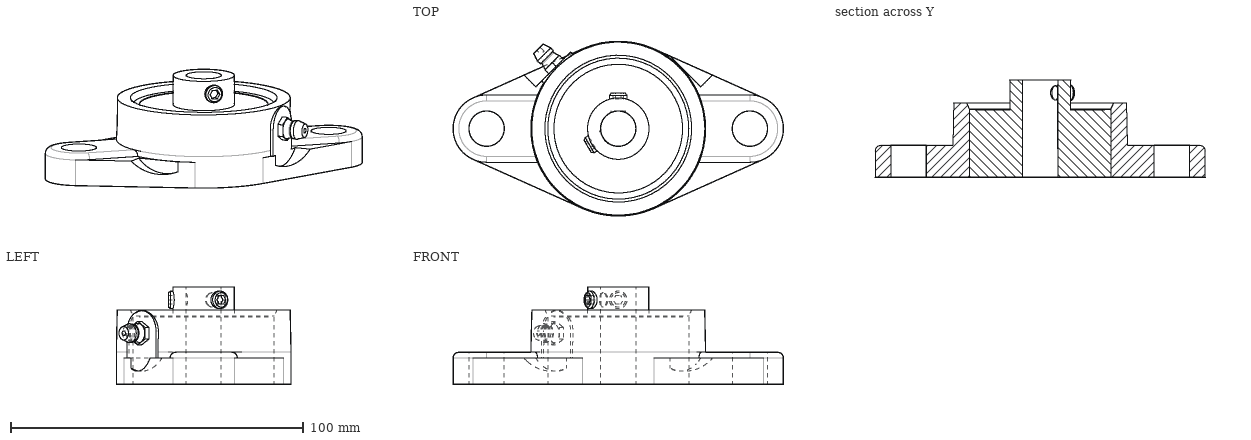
import cadquery as cq
import math


hub_radius = 29.9
bolt_offset = 45.0
ear_radius = 11.5
bolt_hole_diameter = 12.0
flange_height = 9.0
pad_height = 11.0
pad_edge_radius = 2.0

housing_height = 25.5
hub_top_radius = 29.6
seat_radius = 24.1
mouth_radius = 25.1
mouth_depth = 2.2
seat_height = housing_height - mouth_depth

shaft_diameter = 12.0
collar_diameter = 21.0
collar_top = 33.3
seal_radius = 22.0
seal_recess = 0.2

screw_diameter = 6.0
screw_end_diameter = 4.92
screw_chamfer_start = 11.3
screw_end = 12.1
screw_height = 28.9
screw_angles = (90.0, 210.0)
screw_socket_width = 3.0
screw_socket_depth = 2.0

nipple_angle = 135.0
nipple_height = 17.5
boss_face = 30.04
boss_radius = 7.0
boss_depth = 4.0
boss_center_height = 18.2
clearance_radius = 13.0
clearance_length = 20.0
clearance_angles = (nipple_angle, 180.0 - nipple_angle)
nipple_hex_width = 7.0
nipple_hex_length = 1.9
nipple_shoulder_radius = 3.4
nipple_neck_radius = 2.8
nipple_neck_start = 3.9
nipple_neck_end = 4.4
nipple_head_base_radius = 3.1
nipple_head_radius = 3.25
nipple_head_end = 5.8
nipple_tip_radius = 2.3
nipple_length = 8.6
nipple_hole_diameter = 1.6
nipple_hole_depth = 2.0


def radial_plane(angle, distance, height):
    """Plane facing outward at this angle, its local X horizontal and its local Y along +Z."""
    direction = cq.Vector(math.cos(math.radians(angle)), math.sin(math.radians(angle)), 0)
    sideways = cq.Vector(-direction.y, direction.x, 0)
    origin = direction * distance + cq.Vector(0, 0, height)
    return cq.Plane(origin=origin, xDir=sideways, normal=direction)


def hexagon_across_corners(width_across_flats):
    return width_across_flats / math.cos(math.pi / 6)


def make_flange():
    tangent_sine = (hub_radius - ear_radius) / bolt_offset
    tangent_cosine = math.sqrt(1 - tangent_sine**2)
    hub_x = hub_radius * tangent_sine
    hub_y = hub_radius * tangent_cosine
    ear_x = bolt_offset + ear_radius * tangent_sine
    ear_y = ear_radius * tangent_cosine
    ear_tip = bolt_offset + ear_radius
    return (
        cq.Workplane("XY")
        .moveTo(hub_x, hub_y)
        .threePointArc((0, hub_radius), (-hub_x, hub_y))
        .lineTo(-ear_x, ear_y)
        .threePointArc((-ear_tip, 0), (-ear_x, -ear_y))
        .lineTo(-hub_x, -hub_y)
        .threePointArc((0, -hub_radius), (hub_x, -hub_y))
        .lineTo(ear_x, -ear_y)
        .threePointArc((ear_tip, 0), (ear_x, ear_y))
        .close()
        .extrude(flange_height)
    )


def make_bolt_pads():
    return (
        cq.Workplane("XY")
        .slot2D(2 * (bolt_offset + ear_radius), 2 * ear_radius)
        .extrude(pad_height)
        .faces(">Z")
        .edges()
        .fillet(pad_edge_radius)
    )


def make_hub_base():
    return cq.Workplane("XY").circle(hub_radius).extrude(pad_height)


def make_hub_cone():
    """Upper part of the hub, with a slight draft."""
    return (
        cq.Workplane("XY")
        .workplane(offset=pad_height)
        .circle(hub_radius)
        .workplane(offset=housing_height - pad_height)
        .circle(hub_top_radius)
        .loft()
    )


def make_nipple_boss():
    """Flat-faced pad with a round top, standing on the flange."""
    foot = flange_height - boss_center_height
    return (
        cq.Workplane(radial_plane(nipple_angle, boss_face, boss_center_height))
        .moveTo(-boss_radius, foot)
        .lineTo(boss_radius, foot)
        .lineTo(boss_radius, 0)
        .threePointArc((0, boss_radius), (-boss_radius, 0))
        .close()
        .extrude(-boss_depth)
    )


def make_housing():
    seat_profile = [
        (0, 0),
        (seat_radius, 0),
        (seat_radius, seat_height),
        (mouth_radius, housing_height),
        (0, housing_height),
    ]
    seat = cq.Workplane("XZ").polyline(seat_profile).close().revolve(360, (0, 0), (0, 1))
    bolt_holes = (
        cq.Workplane("XY")
        .pushPoints([(-bolt_offset, 0), (bolt_offset, 0)])
        .circle(bolt_hole_diameter / 2)
        .extrude(pad_height)
    )
    body = make_flange()
    for block in (make_bolt_pads(), make_hub_base(), make_hub_cone()):
        body = body.union(block)
    for angle in clearance_angles:
        clearance = (
            cq.Workplane(radial_plane(angle, boss_face, nipple_height))
            .circle(clearance_radius)
            .extrude(clearance_length)
        )
        body = body.cut(clearance)
    return body.union(make_nipple_boss()).cut(seat).cut(bolt_holes)


def revolve_outward(profile, angle, distance, height):
    """Turn a (radius, length) profile about the radial axis at this angle."""
    outward = radial_plane(angle, distance, height)
    lengthwise = cq.Plane(origin=outward.origin, xDir=outward.xDir, normal=-outward.yDir)
    return cq.Workplane(lengthwise).polyline(profile).close().revolve(360, (0, 0), (0, 1))


def add_set_screw(insert, angle):
    """Set screw fixed in the collar, its flat tip at the bottom of a short hole off the shaft bore."""
    inner_end = shaft_diameter / 2
    screw_length = screw_end - inner_end
    tip_hole = (
        cq.Workplane(radial_plane(angle, 0, screw_height))
        .circle(screw_end_diameter / 2)
        .extrude(collar_diameter / 2)
    )
    profile = [
        (0, 0),
        (screw_diameter / 2, 0),
        (screw_diameter / 2, screw_chamfer_start - inner_end),
        (screw_end_diameter / 2, screw_length),
        (0, screw_length),
    ]
    screw = revolve_outward(profile, angle, inner_end, screw_height)
    socket = (
        cq.Workplane(radial_plane(angle, screw_end, screw_height))
        .polygon(6, hexagon_across_corners(screw_socket_width))
        .extrude(-screw_socket_depth)
    )
    return insert.cut(tip_hole).union(screw).cut(socket)


def make_insert():
    profile = [
        (shaft_diameter / 2, 0),
        (seat_radius, 0),
        (seat_radius, seat_height),
        (seal_radius, seat_height),
        (seal_radius, seat_height - seal_recess),
        (collar_diameter / 2, seat_height - seal_recess),
        (collar_diameter / 2, collar_top),
        (shaft_diameter / 2, collar_top),
    ]
    insert = cq.Workplane("XZ").polyline(profile).close().revolve(360, (0, 0), (0, 1))
    for angle in screw_angles:
        insert = add_set_screw(insert, angle)
    return insert


def make_nipple():
    """Grease nipple standing on the boss face: hexagon, waisted neck and tapered head."""
    hexagon = (
        cq.Workplane(radial_plane(nipple_angle, boss_face, nipple_height))
        .transformed(rotate=(0, 0, 90))
        .polygon(6, hexagon_across_corners(nipple_hex_width))
        .extrude(nipple_hex_length)
    )
    head_profile = [
        (0, 0),
        (nipple_shoulder_radius, 0),
        (nipple_shoulder_radius, nipple_hex_length),
        (nipple_neck_radius, nipple_neck_start),
        (nipple_neck_radius, nipple_neck_end),
        (nipple_head_base_radius, nipple_neck_end),
        (nipple_head_radius, nipple_head_end),
        (nipple_tip_radius, nipple_length),
        (0, nipple_length),
    ]
    head = revolve_outward(head_profile, nipple_angle, boss_face, nipple_height)
    grease_hole = (
        cq.Workplane(radial_plane(nipple_angle, boss_face + nipple_length, nipple_height))
        .circle(nipple_hole_diameter / 2)
        .extrude(-nipple_hole_depth)
    )
    return hexagon.union(head).cut(grease_hole)


housing = make_housing()
insert = make_insert()
nipple = make_nipple()
result = cq.Compound.makeCompound([housing.val(), insert.val(), nipple.val()])